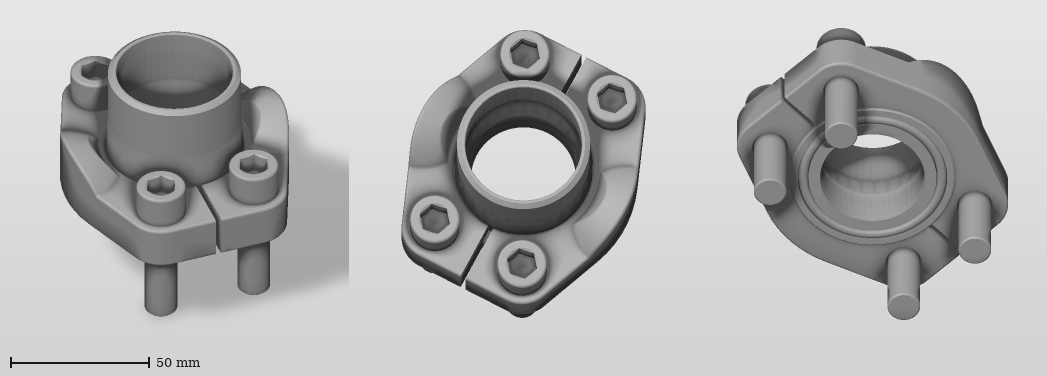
import cadquery as cq
import math

EDGE_ROUND = 1.0

BOLT_X = 34.92
BOLT_Y = 17.9

HALF_LENGTH = 47.0
CLAMP_HEIGHT = 16.1
CLAMP_CROWN_RADIUS = 41.5
CLAMP_CORNER_RADIUS = HALF_LENGTH - BOLT_X
CLAMP_BORE_DIAMETER = 50.6
CLAMP_BORE_CHAMFER = 0.75
CLAMP_GAP = 2.1
BOLT_HOLE_DIAMETER = 13.0
DOME_RADIUS = 25.6
DOME_RELIEF_RADIUS = 27.7
DOME_RELIEF_ANGLE = 30

HEAD_DIAMETER = 60.3
HEAD_BOTTOM = -0.7
HEAD_TOP = 7.6
HEAD_CHAMFER = 0.7
NECK_DIAMETER = 50.0
NECK_TOP = 16.45
PIPE_DIAMETER = 48.3
PIPE_START = 28.5
PIPE_TOP = 49.5
PIPE_END_DIAMETER = 44.65
PIPE_END_BEVEL_HEIGHT = 1.2
PIPE_BORE_DIAMETER = 42.3
PIPE_BORE_CHAMFER = 0.3
HEAD_BORE_DIAMETER = 38.0

GROOVE_OUTER_DIAMETER = 54.1
GROOVE_INNER_DIAMETER = 46.4
GROOVE_DEPTH = 3.0
ORING_SECTION = 3.6

SCREW_DIAMETER = 11.8
SCREW_TIP = -28.95
SCREW_TIP_CHAMFER = 0.6
SCREW_HEAD_DIAMETER = 18.0
SCREW_HEAD_HEIGHT = 11.9
SCREW_HEAD_ROUND = 1.0
SOCKET_FLATS = 10.0
SOCKET_DEPTH = 7.5
SOCKET_MOUTH_DIAMETER = 11.7
SOCKET_CONE_SLOPE = 30
SOCKET_TURN = 9

STOCK = 188.0

BOLT_POINTS = [(x, y) for x in (-BOLT_X, BOLT_X) for y in (-BOLT_Y, BOLT_Y)]


def cylinder(diameter, bottom, top):
    """Upright cylinder on the pipe axis."""
    return cq.Workplane("XY").workplane(offset=bottom).circle(diameter / 2).extrude(top - bottom)


def revolved(points):
    """Solid of revolution about the pipe axis from (radius, height) points."""
    return cq.Workplane("XZ").polyline(points).close().revolve(360, (0, 0), (0, 1))


def clamp_outline(height):
    """Crown arcs and corner arcs joined by their common tangent lines."""
    tangent_turn = math.acos((CLAMP_CROWN_RADIUS - CLAMP_CORNER_RADIUS) / math.hypot(BOLT_X, BOLT_Y))
    normal_angle = math.atan2(BOLT_Y, BOLT_X) + tangent_turn
    normal_x = math.cos(normal_angle)
    normal_y = math.sin(normal_angle)
    crown = (CLAMP_CROWN_RADIUS * normal_x, CLAMP_CROWN_RADIUS * normal_y)
    shoulder = (BOLT_X + CLAMP_CORNER_RADIUS * normal_x, BOLT_Y + CLAMP_CORNER_RADIUS * normal_y)
    corner_mid_angle = normal_angle / 2
    corner_mid = (
        BOLT_X + CLAMP_CORNER_RADIUS * math.cos(corner_mid_angle),
        BOLT_Y + CLAMP_CORNER_RADIUS * math.sin(corner_mid_angle),
    )
    return (
        cq.Workplane("XY")
        .moveTo(HALF_LENGTH, -BOLT_Y)
        .lineTo(HALF_LENGTH, BOLT_Y)
        .threePointArc(corner_mid, shoulder)
        .lineTo(*crown)
        .threePointArc((0, CLAMP_CROWN_RADIUS), (-crown[0], crown[1]))
        .lineTo(-shoulder[0], shoulder[1])
        .threePointArc((-corner_mid[0], corner_mid[1]), (-HALF_LENGTH, BOLT_Y))
        .lineTo(-HALF_LENGTH, -BOLT_Y)
        .threePointArc((-corner_mid[0], -corner_mid[1]), (-shoulder[0], -shoulder[1]))
        .lineTo(-crown[0], -crown[1])
        .threePointArc((0, -CLAMP_CROWN_RADIUS), (crown[0], -crown[1]))
        .lineTo(shoulder[0], -shoulder[1])
        .threePointArc((corner_mid[0], -corner_mid[1]), (HALF_LENGTH, -BOLT_Y))
        .close()
        .extrude(height)
    )


def dome_relief():
    """Cone opening upward from the clamp's top face, clearing the domes around the pipe."""
    rise = DOME_RADIUS
    top_radius = DOME_RELIEF_RADIUS + rise * math.tan(math.radians(DOME_RELIEF_ANGLE))
    return revolved([
        (0, CLAMP_HEIGHT),
        (DOME_RELIEF_RADIUS, CLAMP_HEIGHT),
        (top_radius, CLAMP_HEIGHT + rise),
        (0, CLAMP_HEIGHT + rise),
    ])


def domed_slab():
    """Oversize slab with the two reinforcing domes, blended into its top face."""
    slab = cq.Workplane("XY").box(STOCK, STOCK, CLAMP_HEIGHT, centered=(True, True, False))
    upper_half = cq.Workplane("XY").box(STOCK, STOCK, STOCK, centered=(True, True, False))
    for side in (-1, 1):
        ball = cq.Workplane("XY").sphere(DOME_RADIUS)
        ball = ball.rotate((0, 0, 0), (1, 0, 0), 90).rotate((0, 0, 0), (0, 1, 0), 90)
        ball = ball.translate((0, side * CLAMP_CROWN_RADIUS, 0))
        slab = slab.union(ball.intersect(upper_half).cut(dome_relief()))
    relief_rims = slab.faces("%CONE").edges("%BSPLINE")
    dome_feet = slab.faces("|Z").faces(">Z").edges("%CIRCLE")
    return slab.newObject(relief_rims.vals() + dome_feet.vals()).fillet(EDGE_ROUND)


def clamp_bore():
    """Bore around the neck, chamfered at the clamp's top face."""
    bore_radius = CLAMP_BORE_DIAMETER / 2
    return revolved([
        (0, 0),
        (bore_radius, 0),
        (bore_radius, CLAMP_HEIGHT - CLAMP_BORE_CHAMFER),
        (bore_radius + CLAMP_BORE_CHAMFER, CLAMP_HEIGHT),
        (0, CLAMP_HEIGHT),
    ])


def clamp_ring():
    """The whole clamp, before it is split into halves."""
    ring = domed_slab().intersect(clamp_outline(STOCK)).cut(clamp_bore())
    outer_top_edge = ring.faces("|Z").faces(">Z").edges("|Y").edges(">X")
    ring = ring.newObject(outer_top_edge.vals()).fillet(EDGE_ROUND)
    bore_top_edge = ring.edges(cq.selectors.NearestToPointSelector((0, 0, CLAMP_HEIGHT)))
    ring = ring.newObject(bore_top_edge.vals()).fillet(EDGE_ROUND)
    ring = ring.faces("<Z").edges(">X").fillet(EDGE_ROUND)
    recess = cylinder(HEAD_DIAMETER, 0, HEAD_TOP)
    bolt_holes = cq.Workplane("XY").pushPoints(BOLT_POINTS).circle(BOLT_HOLE_DIAMETER / 2).extrude(STOCK)
    return ring.cut(recess).cut(bolt_holes)


def clamp_half(side):
    """One clamp half; side is +1 for the +Y half and -1 for the -Y half."""
    keep = cq.Workplane("XY").box(STOCK, STOCK, STOCK).translate((0, side * (STOCK + CLAMP_GAP) / 2, 0))
    return clamp_ring().intersect(keep)


def pipe_adapter():
    """Flanged head, tapered neck and weld-end pipe in one turned piece, with the O-ring groove."""
    head_radius = HEAD_DIAMETER / 2
    adapter = revolved([
        (HEAD_BORE_DIAMETER / 2, HEAD_BOTTOM),
        (head_radius - HEAD_CHAMFER, HEAD_BOTTOM),
        (head_radius, HEAD_BOTTOM + HEAD_CHAMFER),
        (head_radius, HEAD_TOP - HEAD_CHAMFER),
        (head_radius - HEAD_CHAMFER, HEAD_TOP),
        (NECK_DIAMETER / 2, HEAD_TOP),
        (NECK_DIAMETER / 2, NECK_TOP),
        (PIPE_DIAMETER / 2, PIPE_START),
        (PIPE_DIAMETER / 2, PIPE_TOP - PIPE_END_BEVEL_HEIGHT),
        (PIPE_END_DIAMETER / 2, PIPE_TOP),
        (PIPE_BORE_DIAMETER / 2 + PIPE_BORE_CHAMFER, PIPE_TOP),
        (PIPE_BORE_DIAMETER / 2, PIPE_TOP - PIPE_BORE_CHAMFER),
        (PIPE_BORE_DIAMETER / 2, PIPE_START),
        (HEAD_BORE_DIAMETER / 2, NECK_TOP),
    ])
    groove_top = HEAD_BOTTOM + GROOVE_DEPTH
    groove = cylinder(GROOVE_OUTER_DIAMETER, HEAD_BOTTOM, groove_top).cut(
        cylinder(GROOVE_INNER_DIAMETER, HEAD_BOTTOM, groove_top)
    )
    return adapter.cut(groove)


def seal_ring():
    """O-ring centred in the groove, touching its floor and standing proud of the head."""
    centre_radius = (GROOVE_OUTER_DIAMETER + GROOVE_INNER_DIAMETER) / 4
    section_radius = ORING_SECTION / 2
    centre_z = HEAD_BOTTOM + GROOVE_DEPTH - section_radius
    return cq.Workplane("XZ").center(centre_radius, centre_z).circle(section_radius).revolve(
        360, (-centre_radius, 0), (-centre_radius, 1)
    )


def screw(x, y):
    """Socket head cap screw standing on the clamp's top face."""
    head_top = CLAMP_HEIGHT + SCREW_HEAD_HEIGHT
    shank = cylinder(SCREW_DIAMETER, SCREW_TIP, CLAMP_HEIGHT).faces("<Z").chamfer(SCREW_TIP_CHAMFER)
    head = cylinder(SCREW_HEAD_DIAMETER, CLAMP_HEIGHT, head_top).faces(">Z").edges().fillet(SCREW_HEAD_ROUND)
    cone_slope = math.tan(math.radians(SOCKET_CONE_SLOPE))
    socket_floor = head_top - SOCKET_DEPTH
    hexagon = (
        cq.Workplane("XY")
        .workplane(offset=socket_floor)
        .polygon(6, SOCKET_FLATS, circumscribed=True)
        .extrude(SOCKET_DEPTH)
        .rotate((0, 0, 0), (0, 0, 1), SOCKET_TURN)
    )
    floor_cone = revolved([
        (0, socket_floor),
        (SOCKET_FLATS / 2, socket_floor),
        (0, socket_floor - SOCKET_FLATS / 2 * cone_slope),
    ])
    mouth_cone = revolved([
        (0, head_top),
        (SOCKET_MOUTH_DIAMETER / 2, head_top),
        (0, head_top - SOCKET_MOUTH_DIAMETER / 2 * cone_slope),
    ])
    body = shank.union(head).cut(hexagon).cut(floor_cone).cut(mouth_cone)
    return body.translate((x, y, 0))


clamp_halves = [clamp_half(side) for side in (-1, 1)]
adapter = pipe_adapter()
oring = seal_ring()
screws = [screw(x, y) for x, y in BOLT_POINTS]

result = cq.Compound.makeCompound(
    [half.val() for half in clamp_halves]
    + [adapter.val(), oring.val()]
    + [one_screw.val() for one_screw in screws]
)